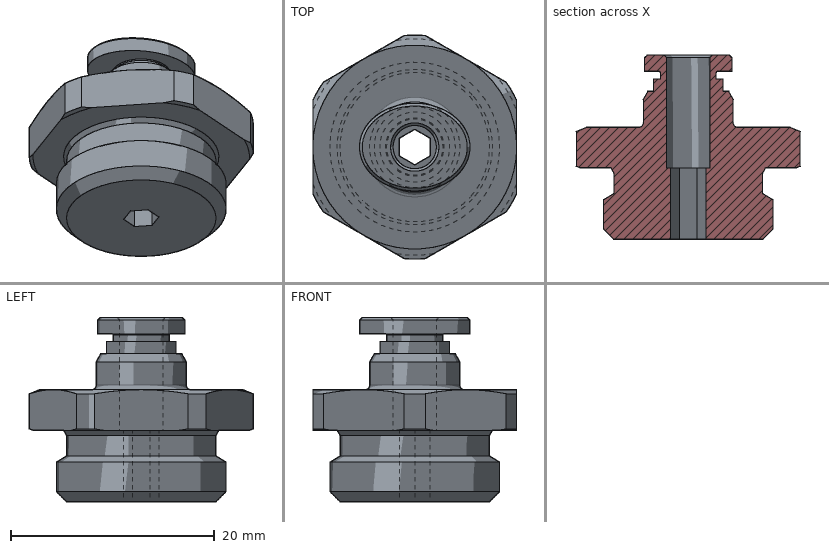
import cadquery as cq
import math

hex_across_flats = 20.0
hex_corner_radius = 11.0
hex_bottom_z = 7.0
hex_top_z = 11.0
hex_top_bevel_radius = hex_across_flats / 2
hex_bottom_bevel_radius = 10.62
hex_bevel_slope = 0.4

thread_radius = 8.33
thread_chamfer = 1.0
thread_top_z = 3.9
relief_radius = thread_radius - thread_chamfer
relief_bottom_z = 4.5
relief_cone_z = 6.5
relief_cone_angle = 30.0

body_radius = 4.43
body_fillet = 0.46
body_cone_z = 13.73
body_top_z = 14.53
body_top_radius = 3.98
step_radius = 3.43
step_top_z = 15.75
neck_radius = 2.76
neck_flare = 0.1

button_half_length = 5.42
button_half_width = 4.3
button_bottom_z = 16.48
button_top_z = 18.1
button_chamfer = 0.27

bore_radius = 2.12
bore_chamfer = 0.25
bore_floor_z = hex_bottom_z
socket_across_flats = 3.0


def hexagon(across_flats, bottom_z, top_z):
    """Hexagonal prism with two of its corners on the Y axis."""
    corner_diameter = across_flats / math.cos(math.radians(30))
    return (
        cq.Workplane("XY")
        .workplane(offset=bottom_z)
        .polygon(6, corner_diameter)
        .extrude(top_z - bottom_z)
        .rotate((0, 0, 0), (0, 0, 1), 30)
    )


def revolved(outline):
    """Turn a closed (radius, z) outline drawn on XZ about the Z axis."""
    return outline.close().revolve(360, (0, 0, 0), (0, 1, 0))


def make_collar():
    top_drop = (hex_corner_radius - hex_top_bevel_radius) * hex_bevel_slope
    bottom_rise = (hex_corner_radius - hex_bottom_bevel_radius) * hex_bevel_slope
    envelope = revolved(
        cq.Workplane("XZ")
        .moveTo(0, hex_bottom_z)
        .lineTo(hex_bottom_bevel_radius, hex_bottom_z)
        .lineTo(hex_corner_radius, hex_bottom_z + bottom_rise)
        .lineTo(hex_corner_radius, hex_top_z - top_drop)
        .lineTo(hex_top_bevel_radius, hex_top_z)
        .lineTo(0, hex_top_z)
    )
    return hexagon(hex_across_flats, hex_bottom_z, hex_top_z).intersect(envelope)


def make_turned_body():
    relief_cone_height = hex_bottom_z - relief_cone_z
    relief_cone_spread = relief_cone_height * math.tan(math.radians(relief_cone_angle))
    fillet_outer_radius = body_radius + body_fillet
    fillet_top_z = hex_top_z + body_fillet
    fillet_reach = body_fillet * math.sqrt(0.5)
    fillet_middle = (fillet_outer_radius - fillet_reach, fillet_top_z - fillet_reach)
    return revolved(
        cq.Workplane("XZ")
        .moveTo(0, 0)
        .lineTo(thread_radius - thread_chamfer, 0)
        .lineTo(thread_radius, thread_chamfer)
        .lineTo(thread_radius, thread_top_z)
        .lineTo(relief_radius, relief_bottom_z)
        .lineTo(relief_radius, relief_cone_z)
        .lineTo(relief_radius + relief_cone_spread, hex_bottom_z)
        .lineTo(fillet_outer_radius, hex_top_z)
        .threePointArc(fillet_middle, (body_radius, fillet_top_z))
        .lineTo(body_radius, body_cone_z)
        .lineTo(body_top_radius, body_top_z)
        .lineTo(step_radius, body_top_z)
        .lineTo(step_radius, step_top_z)
        .lineTo(neck_radius, step_top_z)
        .lineTo(neck_radius, button_bottom_z - neck_flare)
        .lineTo(neck_radius + neck_flare, button_bottom_z)
        .lineTo(0, button_bottom_z)
    )


def make_button():
    return (
        cq.Workplane("XY")
        .workplane(offset=button_bottom_z)
        .ellipse(button_half_length, button_half_width)
        .extrude(button_top_z - button_bottom_z)
        .faces(">Z")
        .chamfer(button_chamfer)
    )


def make_bore():
    mouth_radius = bore_radius + bore_chamfer
    return revolved(
        cq.Workplane("XZ")
        .moveTo(0, bore_floor_z)
        .lineTo(bore_radius, bore_floor_z)
        .lineTo(bore_radius, button_top_z - bore_chamfer)
        .lineTo(mouth_radius, button_top_z)
        .lineTo(0, button_top_z)
    )


solid = make_turned_body().union(make_collar()).union(make_button())
result = solid.cut(make_bore()).cut(hexagon(socket_across_flats, 0, bore_floor_z))